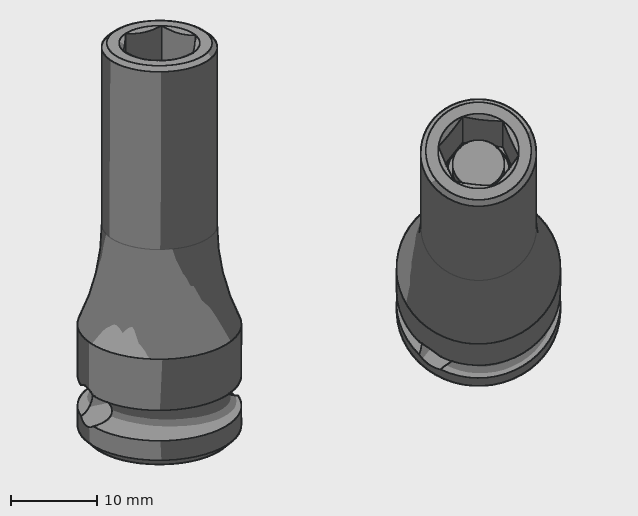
import cadquery as cq
import math

height = 50.0
base_radius = 9.5
nose_radius = 6.7

bottom_chamfer = 1.05
flare_bottom = 14.0
flare_top = 26.75
nose_chamfer_width = 0.6
nose_chamfer_height = 0.5

groove_center = 5.5
groove_width = 3.9
groove_depth = 1.7
pin_hole_diameter = 5.0

hex_across_flats = 8.1
hex_corner_radius = hex_across_flats / math.sqrt(3)
hex_depth = 8.0
lead_in_angle = math.radians(30)

bore_radius = 3.95
bore_depth = 10.0
sleeve_radius = 3.55
sleeve_top_depth = 6.0
magnet_radius = 3.0
magnet_top_depth = 4.0


def make_body():
    """Revolve the outer outline, with the flare tangent to the nose cylinder."""
    groove_half = groove_width / 2
    flare_height = flare_top - flare_bottom
    flare_rise = base_radius - nose_radius
    flare_arc_radius = (flare_height**2 + flare_rise**2) / (2 * flare_rise)
    return (
        cq.Workplane("XZ")
        .lineTo(base_radius - bottom_chamfer, 0)
        .lineTo(base_radius, bottom_chamfer)
        .lineTo(base_radius, groove_center - groove_half)
        .threePointArc(
            (base_radius - groove_depth, groove_center),
            (base_radius, groove_center + groove_half),
        )
        .lineTo(base_radius, flare_bottom)
        .radiusArc((nose_radius, flare_top), flare_arc_radius)
        .lineTo(nose_radius, height - nose_chamfer_height)
        .lineTo(nose_radius - nose_chamfer_width, height)
        .lineTo(0, height)
        .close()
        .revolve(360, (0, 0, 0), (0, 1, 0))
    )


def make_post(radius, top_depth):
    """Cylinder from the bore floor up to a given depth below the nose face."""
    return (
        cq.Workplane("XY")
        .workplane(offset=height - bore_depth)
        .circle(radius)
        .extrude(bore_depth - top_depth)
    )


def make_hex_recess():
    """Hexagon with two corners on the Y axis, its conical lead-in and the bore below."""
    hexagon = (
        cq.Workplane("XY")
        .workplane(offset=height - hex_depth)
        .polygon(6, 2 * hex_corner_radius)
        .extrude(hex_depth)
        .rotate((0, 0, 0), (0, 0, 1), 30)
    )
    lead_in_depth = hex_corner_radius * math.tan(lead_in_angle)
    lead_in = (
        cq.Workplane("XZ")
        .moveTo(0, height - lead_in_depth)
        .lineTo(hex_corner_radius, height)
        .lineTo(0, height)
        .close()
        .revolve(360, (0, 0, 0), (0, 1, 0))
    )
    bore = make_post(bore_radius, hex_depth)
    return hexagon.union(lead_in).union(bore)


def make_magnet():
    """Magnet and its lower sleeve, rising from the bore floor."""
    sleeve = make_post(sleeve_radius, sleeve_top_depth)
    return sleeve.union(make_post(magnet_radius, magnet_top_depth))


def make_pin_hole():
    """Round hole along Y through the whole body at the groove height."""
    return (
        cq.Workplane("XZ")
        .center(0, groove_center)
        .circle(pin_hole_diameter / 2)
        .extrude(base_radius, both=True)
    )


socket = make_body().cut(make_hex_recess()).cut(make_pin_hole())
result = socket.union(make_magnet())